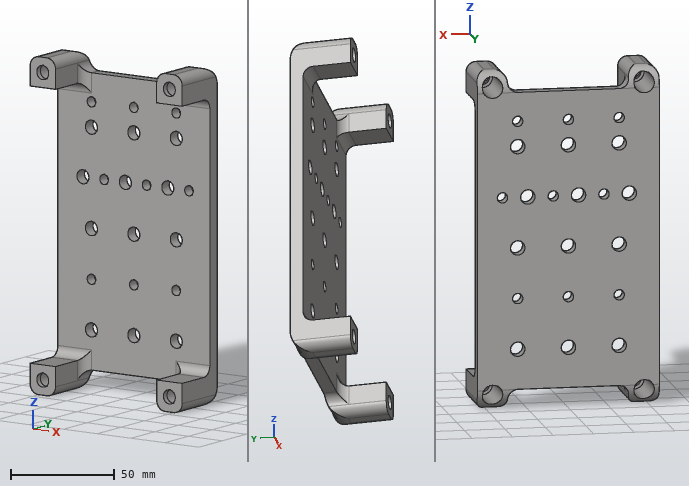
import cadquery as cq

width = 89.8
depth = 30.0
height = 167.0
plate_thickness = 6.5

leg_size = 15.0
end_recess = 10.0
leg_corner_radius = 5.0
inner_radius = 5.0
back_edge_radius = 10.0

large_diameter = 7.0
small_diameter = 5.0
hole_pitch = 25.0
top_large_row_z = 46.6
staggered_row_shift = 5.0
bore_diameter = 10.0
leg_floor = 3.0

half_width = width / 2
half_depth = depth / 2
half_height = height / 2
plate_front_y = half_depth - plate_thickness


def channel_points(half_span):
    """Section of a channel: plate at +Y, a leg along each side, open toward -Y."""
    inner = half_span - leg_size
    return [
        (-half_span, -half_depth),
        (-half_span, half_depth),
        (half_span, half_depth),
        (half_span, -half_depth),
        (inner, -half_depth),
        (inner, plate_front_y),
        (-inner, plate_front_y),
        (-inner, -half_depth),
    ]


def inner_corners(half_span):
    """Box around the plate face that selects the two concave channel edges."""
    reach = half_span - leg_size / 2
    margin = plate_thickness / 2
    return cq.selectors.BoxSelector(
        (-reach, plate_front_y - margin, -height),
        (reach, plate_front_y + margin, height),
    )


def make_cross_channel():
    """Channel seen along Z, with its inner corners blended."""
    channel = cq.Workplane("XY").polyline(channel_points(half_width)).close()
    channel = channel.extrude(half_height, both=True)
    return channel.edges("|Z").edges(inner_corners(half_width)).fillet(inner_radius)


def make_long_channel():
    """Channel seen along X, with rounded back edges and blended inner corners."""
    channel = cq.Workplane("XY").polyline(channel_points(half_height)).close()
    channel = channel.extrude(half_width, both=True)
    channel = channel.edges("|Z").edges(inner_corners(half_height)).fillet(inner_radius)
    channel = channel.edges("|Z and >Y").fillet(back_edge_radius)
    return channel.rotate((0, 0, 0), (0, 1, 0), 90)


def make_outline():
    """Front outline: rounded leg tips with the plate end recessed between them."""
    leg_inner_x = half_width - leg_size
    round_start_z = half_height - leg_corner_radius
    recess_z = half_height - end_recess
    quarter = (
        cq.Workplane("XZ")
        .lineTo(half_width, 0)
        .lineTo(half_width, round_start_z)
        .tangentArcPoint((half_width - leg_corner_radius, half_height), relative=False)
        .lineTo(leg_inner_x + leg_corner_radius, half_height)
        .tangentArcPoint((leg_inner_x, round_start_z), relative=False)
        .tangentArcPoint((leg_inner_x - inner_radius, recess_z), relative=False)
        .lineTo(0, recess_z)
        .close()
        .extrude(half_depth, both=True)
    )
    half = quarter.union(quarter.mirror("YZ"))
    return half.union(half.mirror("XY")).clean()


def hole_cutters(points, diameter):
    """Round cutters along Y, reaching one depth each way, at (x, z) points."""
    cutters = cq.Workplane("XZ").pushPoints(points).circle(diameter / 2)
    return cutters.extrude(depth, both=True)


body = make_cross_channel().intersect(make_long_channel()).intersect(make_outline())

columns = (-hole_pitch, 0, hole_pitch)
staggered_z = top_large_row_z - hole_pitch
large_rows = (top_large_row_z, staggered_z - hole_pitch, staggered_z - 3 * hole_pitch)
small_rows = (top_large_row_z + hole_pitch / 2, staggered_z - 2 * hole_pitch)

large_points = [(x, z) for z in large_rows for x in columns]
small_points = [(x, z) for z in small_rows for x in columns]
for x in columns:
    large_points.append((x - staggered_row_shift, staggered_z))
    small_points.append((x - staggered_row_shift + hole_pitch / 2, staggered_z))

leg_x = half_width - leg_size / 2
leg_z = half_height - leg_size / 2
leg_points = [(x, z) for x in (-leg_x, leg_x) for z in (-leg_z, leg_z)]
leg_bores = hole_cutters(leg_points, bore_diameter).translate((0, half_depth + leg_floor, 0))

result = (
    body.cut(hole_cutters(large_points + leg_points, large_diameter))
    .cut(hole_cutters(small_points, small_diameter))
    .cut(leg_bores)
)